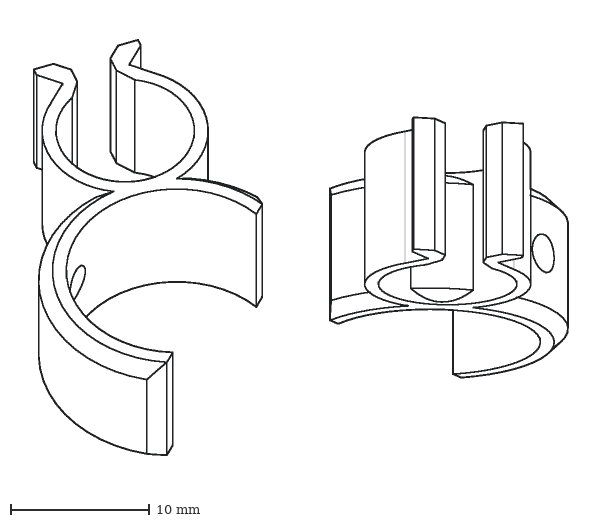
import cadquery as cq
import math

height = 10.0

large_outer_radius = 10.0
large_inner_radius = 8.0
chamfer = 1.0
opening_x = 3.0
hole_diameter = 2.8

clip_x = -9.0
clip_y = 11.0
clip_outer_radius = 6.0
clip_inner_radius = 5.0
wall_start_y = 0.32
jaw_angle = 164

lip_tip_x = -8.5
lip_tip_y = 2.77
lip_base_y = 2.35
lip_top_y = 3.85
lip_bevel = 0.88


def make_large_ring():
    ring = (
        cq.Workplane("XY")
        .circle(large_outer_radius)
        .extrude(height)
        .faces("<Z or >Z")
        .edges()
        .chamfer(chamfer)
    )
    bevel_start_x = opening_x - chamfer
    bevel_start_y = math.sqrt(large_outer_radius**2 - bevel_start_x**2)
    bevel_end_y = math.sqrt((large_outer_radius - chamfer) ** 2 - opening_x**2)
    envelope = (
        cq.Workplane("XY")
        .polyline([
            (-large_outer_radius, -large_outer_radius),
            (bevel_start_x, -large_outer_radius),
            (bevel_start_x, -bevel_start_y),
            (opening_x, -bevel_end_y),
            (opening_x, bevel_end_y),
            (bevel_start_x, bevel_start_y),
            (bevel_start_x, large_outer_radius),
            (-large_outer_radius, large_outer_radius),
        ])
        .close()
        .extrude(height)
    )
    bore = cq.Workplane("XY").circle(large_inner_radius).extrude(height)
    return ring.intersect(envelope).cut(bore)


def mirror_across_diagonal(point):
    x, y = point
    return (-y, -x)


def make_clip():
    wall_x = math.sqrt(clip_outer_radius**2 - wall_start_y**2)
    angle = math.radians(jaw_angle)
    jaw_start = (clip_inner_radius * math.cos(angle), clip_inner_radius * math.sin(angle))
    jaw = [
        (-wall_x, wall_start_y),
        (-wall_x, lip_base_y),
        (lip_tip_x + lip_tip_y - lip_base_y, lip_base_y),
        (lip_tip_x, lip_tip_y),
        (lip_tip_x + lip_top_y - lip_tip_y, lip_top_y),
        (-wall_x, lip_top_y),
        (-wall_x + lip_bevel, lip_top_y - lip_bevel),
        jaw_start,
    ]
    opposite_jaw = [mirror_across_diagonal(point) for point in reversed(jaw)]
    diagonal = math.sqrt(0.5)
    inner_middle = (clip_inner_radius * diagonal, -clip_inner_radius * diagonal)
    outer_middle = (clip_outer_radius * diagonal, -clip_outer_radius * diagonal)

    profile = cq.Workplane("XY", origin=(clip_x, clip_y, 0)).moveTo(*jaw[0])
    for point in jaw[1:]:
        profile = profile.lineTo(*point)
    profile = profile.threePointArc(inner_middle, opposite_jaw[0])
    for point in opposite_jaw[1:]:
        profile = profile.lineTo(*point)
    return profile.threePointArc(outer_middle, jaw[0]).close().extrude(height)


hole = (
    cq.Workplane("YZ", origin=(-large_outer_radius, 0, height / 2))
    .circle(hole_diameter / 2)
    .extrude(large_outer_radius)
)

result = make_large_ring().union(make_clip()).cut(hole)